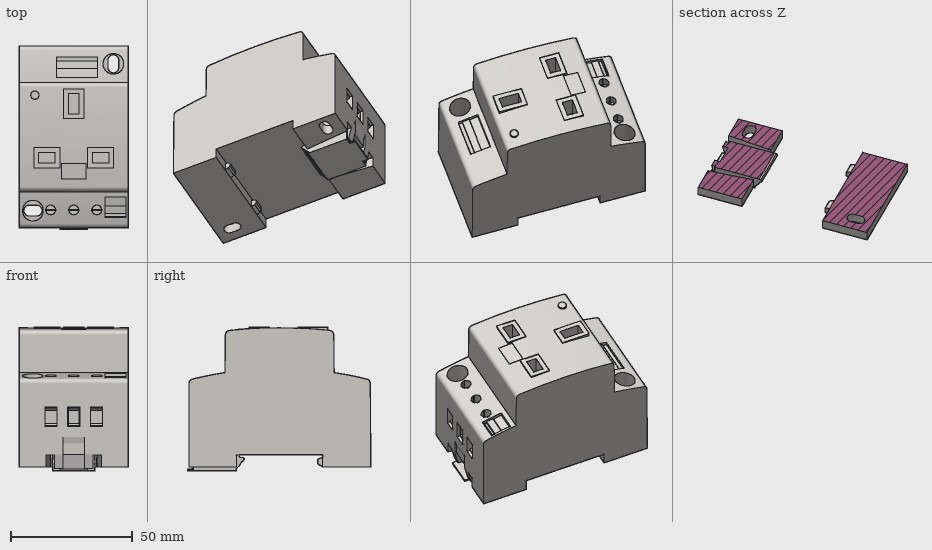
import cadquery as cq
import math

WIDTH = 45.0
FRONT_Y = -37.3
BACK_Y = 37.6
BACK_TOP_Y = 37.35
RAIL_HALF = 17.75
RAIL_DEPTH = 5.0
TOWER_FOOT_Y = 22.5
TOWER_HEAD_Y = 22.35
SHOULDER_Z = 38.9
SHOULDER_RADIUS = 150.0
APEX_Z = 57.33
CROWN_RADIUS = 200.0
CORNER_RADIUS = 2.0

FRAME_TOP_Z = 57.55
SOCKET_DEPTH = 10.0
BACK_FRAME = (8.3, 12.2)
BACK_SOCKET = (4.4, 8.3)
BACK_SOCKET_Y = 13.75
FRONT_FRAME = (10.7, 8.35)
FRONT_SOCKET = (6.75, 4.3)
FRONT_SOCKET_X = 11.1
FRONT_SOCKET_Y = -8.4
LABEL_SIZE = (10.25, 6.2)
LABEL_Y = -14.0
LABEL_HEIGHT = 0.1
LAMP_DIAMETER = 3.4
LAMP_X = -16.0
LAMP_Y = 17.3
LAMP_TOP_Z = 57.3

MOUNT_BORE_DIAMETER = 8.5
MOUNT_SLOT_LENGTH = 7.4
MOUNT_SLOT_WIDTH = 4.4
MOUNT_FLOOR = RAIL_DEPTH
FRONT_MOUNT = (-16.8, -30.2)
BACK_MOUNT = (16.3, 30.2)

SCREW_PITCH = 9.5
SCREW_DIAMETER = 4.0
SCREW_Y = -29.9
SCREW_HEAD_Z = 33.5
SCREW_SLOT_LENGTH = 4.2
SCREW_SLOT_WIDTH = 0.55
SCREW_SLOT_DEPTH = 0.8

WINDOW_INNER = 24.6
WINDOW_KNEE = 28.3
WINDOW_GROOVE = 31.3
WINDOW_LEDGE = 32.6
WINDOW_OUTER = 33.1
WINDOW_INNER_Z = 37.2
WINDOW_FALL = 0.8
WINDOW_STEP = 0.5
WINDOW_LEDGE_Z = 36.4
WINDOW_GROOVE_Z = 35.6
FRONT_WINDOW_X = (12.85, 21.45)
BACK_WINDOW_X = (-7.05, 9.75)

OPENING_BOTTOM_Z = 16.6
OPENING_TOP_Z = 24.7
OPENING_STEP = 0.45
OPENING_TAPER = 0.95
MOUTH_DEPTH = 1.3
OPENING_DEPTH = 3.1
SIDE_OPENING_WIDTH = 4.85
SIDE_OPENING_X = 9.35
MIDDLE_OPENING_WIDTH = 5.15
MIDDLE_FUNNEL_WIDTH = 4.5

NOTCH_HALF = 11.35
NOTCH_BACK_HALF = 9.6
LATCH_HALF = 8.65
LATCH_FRONT_Y = -35.45
LATCH_BOTTOM_Z = -1.6
CHEEK_HALF = 7.9
CHEEK_BOTTOM_Z = -0.6
CHEEK_LEAN = 1.3
CHANNEL_HALF = 4.4
CHANNEL_OFFSET = 2.3
GRIP_DEPTH = 0.7
GRIP_TOP_Z = 12.2
GRIP_KNEE_Z = 9.5
GRIP_BOTTOM_Z = 5.25
TAB_HALF = 5.75
TAB_FRONT_Y = -37.88
TAB_TOP_Z = -0.85
NOSE_OUTLINE = [
    (0, RAIL_DEPTH),
    (1.1, RAIL_DEPTH),
    (1.1, 4.4),
    (1.6, 4.0),
    (2.8, 3.95),
    (3.3, 3.5),
    (3.3, 3.15),
    (1.75, 1.55),
    (1.65, 1.05),
    (0, -0.65),
]

HOOK_INNER_X = 9.35
HOOK_LENGTH = 5.0
HOOK_OUTLINE = [(0, 4.0), (0.9, 3.8), (2.1, 3.2), (2.1, 1.5), (1.4, 0.8), (0, 0.1)]


def arc_z(y, apex_z, radius):
    """Height at y of an arc centred on the middle plane."""
    return apex_z - radius + math.sqrt(radius ** 2 - y ** 2)


SHOULDER_APEX_Z = SHOULDER_Z + SHOULDER_RADIUS - math.sqrt(SHOULDER_RADIUS ** 2 - TOWER_FOOT_Y ** 2)


def shoulder_point(y):
    return (y, arc_z(y, SHOULDER_APEX_Z, SHOULDER_RADIUS))


def crown_point(y):
    return (y, arc_z(y, APEX_Z, CROWN_RADIUS))


def prism(points, x_min, x_max):
    """Extrude a closed YZ polygon from x_min to x_max."""
    return cq.Workplane("YZ").polyline(points).close().extrude(x_max - x_min).translate((x_min, 0, 0))


def block(x_min, x_max, y_min, y_max, z_min, z_max):
    size = (x_max - x_min, y_max - y_min, z_max - z_min)
    return cq.Workplane("XY").box(*size, centered=False).translate((x_min, y_min, z_min))


def pillar(x, y, size, z_min, z_max):
    """Rectangular block centred on (x, y)."""
    return block(x - size[0] / 2, x + size[0] / 2, y - size[1] / 2, y + size[1] / 2, z_min, z_max)


def cylinder(x, y, diameter, z_min, z_max):
    return cq.Workplane("XY", origin=(x, y, z_min)).circle(diameter / 2).extrude(z_max - z_min)


def housing():
    body = (
        cq.Workplane("YZ")
        .moveTo(FRONT_Y, 0)
        .lineTo(*shoulder_point(FRONT_Y))
        .threePointArc(shoulder_point((FRONT_Y - TOWER_FOOT_Y) / 2), (-TOWER_FOOT_Y, SHOULDER_Z))
        .lineTo(*crown_point(-TOWER_HEAD_Y))
        .threePointArc((0, APEX_Z), crown_point(TOWER_HEAD_Y))
        .lineTo(TOWER_FOOT_Y, SHOULDER_Z)
        .threePointArc(shoulder_point((TOWER_FOOT_Y + BACK_TOP_Y) / 2), shoulder_point(BACK_TOP_Y))
        .lineTo(BACK_Y, 0)
        .lineTo(RAIL_HALF, 0)
        .lineTo(RAIL_HALF, RAIL_DEPTH)
        .lineTo(-RAIL_HALF, RAIL_DEPTH)
        .lineTo(-RAIL_HALF, 0)
        .close()
        .extrude(WIDTH / 2, both=True)
    )
    corners = [shoulder_point(FRONT_Y), crown_point(-TOWER_HEAD_Y)]
    corners += [crown_point(TOWER_HEAD_Y), shoulder_point(BACK_TOP_Y)]
    for y, z in corners:
        body = body.edges(cq.selectors.NearestToPointSelector((0, y, z))).fillet(CORNER_RADIUS)
    return body


def add_sockets(body):
    sockets = [
        (0, BACK_SOCKET_Y, BACK_FRAME, BACK_SOCKET),
        (-FRONT_SOCKET_X, FRONT_SOCKET_Y, FRONT_FRAME, FRONT_SOCKET),
        (FRONT_SOCKET_X, FRONT_SOCKET_Y, FRONT_FRAME, FRONT_SOCKET),
    ]
    floor_z = FRAME_TOP_Z - SOCKET_DEPTH
    for x, y, frame, opening in sockets:
        body = body.union(pillar(x, y, frame, floor_z, FRAME_TOP_Z))
        body = body.cut(pillar(x, y, opening, floor_z, FRAME_TOP_Z))
    return body


def label_plate():
    """Thin plate that follows the crown of the tower."""
    crown = (
        cq.Workplane("YZ")
        .circle(CROWN_RADIUS + LABEL_HEIGHT)
        .extrude(WIDTH / 2, both=True)
        .translate((0, 0, APEX_Z - CROWN_RADIUS))
    )
    return pillar(0, LABEL_Y, LABEL_SIZE, SHOULDER_Z, FRAME_TOP_Z).intersect(crown)


def mounting_hole(center, slot_angle):
    """Round counterbore above a slotted through hole."""
    x, y = center
    bore = cylinder(x, y, MOUNT_BORE_DIAMETER, MOUNT_FLOOR, SHOULDER_Z)
    slot = (
        cq.Workplane("XY", origin=(x, y, 0))
        .slot2D(MOUNT_SLOT_LENGTH, MOUNT_SLOT_WIDTH, slot_angle)
        .extrude(MOUNT_FLOOR)
    )
    return bore.union(slot)


def screw_hole(x):
    """Access hole with a slot for the screwdriver blade, cut deeper than the hole."""
    hole = cylinder(x, SCREW_Y, SCREW_DIAMETER, SCREW_HEAD_Z, SHOULDER_Z)
    blade = (SCREW_SLOT_LENGTH, SCREW_SLOT_WIDTH)
    return hole.union(pillar(x, SCREW_Y, blade, SCREW_HEAD_Z - SCREW_SLOT_DEPTH, SHOULDER_Z))


def marker_window(x_range, side, groove_end):
    """Recess with a sloping floor, a raised step and a groove; side is the sign of Y."""
    knee_z = WINDOW_INNER_Z - WINDOW_FALL
    profile = [
        (WINDOW_INNER, SHOULDER_Z),
        (WINDOW_INNER, WINDOW_INNER_Z),
        (WINDOW_KNEE, knee_z),
        (WINDOW_KNEE, knee_z + WINDOW_STEP),
        (WINDOW_GROOVE, WINDOW_LEDGE_Z),
        (WINDOW_GROOVE, WINDOW_GROOVE_Z),
        (groove_end, WINDOW_GROOVE_Z),
    ]
    if groove_end < WINDOW_OUTER:
        profile += [(groove_end, WINDOW_LEDGE_Z), (WINDOW_OUTER, WINDOW_LEDGE_Z)]
    profile.append((WINDOW_OUTER, SHOULDER_Z))
    return prism([(side * y, z) for y, z in profile], *x_range)


def terminal_opening(x, mouth_width, funnel_width):
    """Rectangular mouth leading into a funnel that narrows in height."""
    mouth_y = FRONT_Y + MOUTH_DEPTH
    back_y = FRONT_Y + OPENING_DEPTH
    low_z = OPENING_BOTTOM_Z + OPENING_STEP
    high_z = OPENING_TOP_Z - OPENING_STEP
    mouth_half = mouth_width / 2
    mouth = block(x - mouth_half, x + mouth_half, FRONT_Y, mouth_y, OPENING_BOTTOM_Z, OPENING_TOP_Z)
    funnel_profile = [
        (mouth_y, low_z),
        (back_y, low_z + OPENING_TAPER),
        (back_y, high_z - OPENING_TAPER),
        (mouth_y, high_z),
    ]
    return mouth.union(prism(funnel_profile, x - funnel_width / 2, x + funnel_width / 2))


def latch_notch():
    """Notch through the front foot into the rail slot, with converging side walls."""
    outline = [
        (-NOTCH_HALF, FRONT_Y),
        (NOTCH_HALF, FRONT_Y),
        (NOTCH_BACK_HALF, -RAIL_HALF),
        (-NOTCH_BACK_HALF, -RAIL_HALF),
    ]
    return cq.Workplane("XY").polyline(outline).close().extrude(RAIL_DEPTH)


def latch():
    """Sliding latch: base plate, leaning cheeks, pull tab and rail nose."""
    plate = block(-LATCH_HALF, LATCH_HALF, LATCH_FRONT_Y, -RAIL_HALF, LATCH_BOTTOM_Z, RAIL_DEPTH)
    cheek_profile = [
        (FRONT_Y, RAIL_DEPTH),
        (FRONT_Y + CHEEK_LEAN, CHEEK_BOTTOM_Z),
        (LATCH_FRONT_Y, CHEEK_BOTTOM_Z),
        (LATCH_FRONT_Y, RAIL_DEPTH),
    ]
    tab = block(-TAB_HALF, TAB_HALF, TAB_FRONT_Y, LATCH_FRONT_Y, LATCH_BOTTOM_Z, TAB_TOP_Z)
    nose_profile = [(reach - RAIL_HALF, z) for reach, z in NOSE_OUTLINE]
    body = plate.union(prism(cheek_profile, -CHEEK_HALF, CHEEK_HALF))
    return body.union(tab).union(prism(nose_profile, -LATCH_HALF, LATCH_HALF))


def latch_channel():
    """Slanted channel in the latch that leaves the pull tab reachable."""
    upper_y = FRONT_Y + CHANNEL_OFFSET
    profile = [
        (FRONT_Y, RAIL_DEPTH),
        (FRONT_Y, GRIP_BOTTOM_Z),
        (upper_y, GRIP_BOTTOM_Z),
        (upper_y, RAIL_DEPTH),
        (upper_y + CHEEK_LEAN, CHEEK_BOTTOM_Z),
        (upper_y + CHEEK_LEAN, TAB_TOP_Z),
        (FRONT_Y, TAB_TOP_Z),
    ]
    return prism(profile, -CHANNEL_HALF, CHANNEL_HALF)


def grip_recess():
    """Recess above the latch with a sloping ceiling."""
    grip_y = FRONT_Y + GRIP_DEPTH
    profile = [
        (FRONT_Y, GRIP_TOP_Z),
        (grip_y, GRIP_KNEE_Z),
        (grip_y, RAIL_DEPTH),
        (FRONT_Y, RAIL_DEPTH),
    ]
    return prism(profile, -CHANNEL_HALF, CHANNEL_HALF)


def rail_hooks():
    """Pair of fixed hooks on the back wall of the rail slot."""
    profile = [(RAIL_HALF - reach, z) for reach, z in HOOK_OUTLINE]
    hook = prism(profile, HOOK_INNER_X, HOOK_INNER_X + HOOK_LENGTH)
    return hook.union(hook.mirror("YZ"))


part = add_sockets(housing())
part = part.union(label_plate())
part = part.union(cylinder(LAMP_X, LAMP_Y, LAMP_DIAMETER, SHOULDER_Z, LAMP_TOP_Z))

part = part.cut(mounting_hole(FRONT_MOUNT, 0)).cut(mounting_hole(BACK_MOUNT, 90))
part = part.cut(marker_window(FRONT_WINDOW_X, -1, WINDOW_LEDGE))
part = part.cut(marker_window(BACK_WINDOW_X, 1, WINDOW_OUTER))

for side in (-1, 0, 1):
    part = part.cut(screw_hole(side * SCREW_PITCH))
for side in (-1, 1):
    part = part.cut(terminal_opening(side * SIDE_OPENING_X, SIDE_OPENING_WIDTH, SIDE_OPENING_WIDTH))
part = part.cut(terminal_opening(0, MIDDLE_OPENING_WIDTH, MIDDLE_FUNNEL_WIDTH))

part = part.cut(latch_notch()).union(latch())
part = part.cut(grip_recess()).cut(latch_channel())
part = part.union(rail_hooks())

result = part